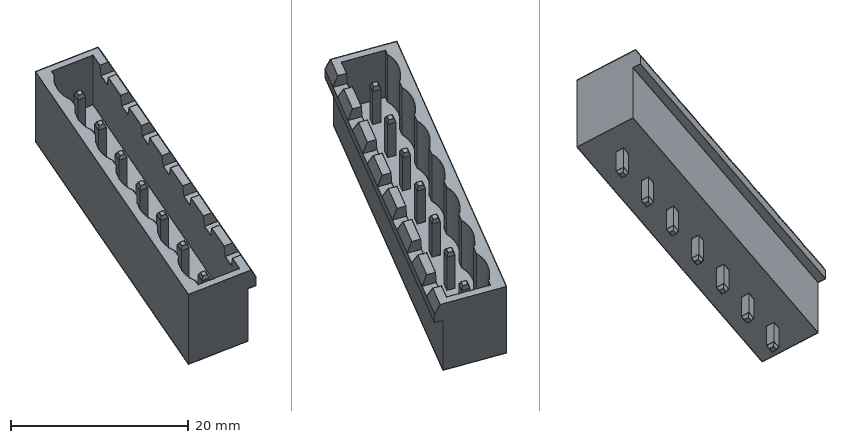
import cadquery as cq


PIN_COUNT = 7
PIN_PITCH = 5.08

LENGTH = 37.56
DEPTH = 8.6
HEIGHT = 12.0
FRONT_Y = -3.8
BACK_Y = FRONT_Y + DEPTH

LIP_OVERHANG = 1.0
LIP_HEIGHT = 3.0
LIP_BEVEL_RUN = 0.65
LIP_BEVEL_DROP = 1.5

END_WALL = 0.8
FRONT_WALL = 1.65
BACK_WALL = 1.7
FLOOR = 3.5
SCALLOP_CHORD = 4.2
SCALLOP_DEPTH = 0.63

NOTCH_TOP_WIDTH = 2.05
NOTCH_FLOOR_WIDTH = 1.5
NOTCH_DEPTH = 1.5

PIN_WIDTH = 1.0
PIN_TIP_WIDTH = 0.6
PIN_TIP_LENGTH = 0.55
PIN_TAIL = 4.0
PIN_TOP_Z = 10.0

pin_xs = [(i - (PIN_COUNT - 1) / 2) * PIN_PITCH for i in range(PIN_COUNT)]


def housing_block():
    """Solid side profile, with the lip, extruded along the row."""
    lower_back_y = BACK_Y - LIP_OVERHANG
    lip_z = HEIGHT - LIP_HEIGHT
    return (
        cq.Workplane("YZ")
        .moveTo(FRONT_Y, 0)
        .lineTo(lower_back_y, 0)
        .lineTo(lower_back_y, lip_z)
        .lineTo(BACK_Y, lip_z)
        .lineTo(BACK_Y, HEIGHT - LIP_BEVEL_DROP)
        .lineTo(BACK_Y - LIP_BEVEL_RUN, HEIGHT)
        .lineTo(FRONT_Y, HEIGHT)
        .close()
        .extrude(LENGTH / 2, both=True)
    )


def cavity():
    """Pocket above the floor, with one shallow arc per pin in its front side."""
    half_length = LENGTH / 2 - END_WALL
    front_y = FRONT_Y + FRONT_WALL
    back_y = BACK_Y - BACK_WALL
    outline = cq.Workplane("XY", origin=(0, 0, FLOOR)).moveTo(-half_length, front_y)
    for x in pin_xs:
        outline = outline.lineTo(x - SCALLOP_CHORD / 2, front_y)
        outline = outline.threePointArc((x, front_y - SCALLOP_DEPTH), (x + SCALLOP_CHORD / 2, front_y))
    return (
        outline.lineTo(half_length, front_y)
        .lineTo(half_length, back_y)
        .lineTo(-half_length, back_y)
        .close()
        .extrude(HEIGHT - FLOOR)
    )


def notch(x):
    """Trapezoid, wider at the top, cut through the back wall."""
    floor_z = HEIGHT - NOTCH_DEPTH
    return (
        cq.Workplane("XZ", origin=(x, BACK_Y, 0))
        .moveTo(-NOTCH_FLOOR_WIDTH / 2, floor_z)
        .lineTo(NOTCH_FLOOR_WIDTH / 2, floor_z)
        .lineTo(NOTCH_TOP_WIDTH / 2, HEIGHT)
        .lineTo(-NOTCH_TOP_WIDTH / 2, HEIGHT)
        .close()
        .extrude(BACK_WALL)
    )


def pin(x):
    """Square pin through the floor, tapered at both ends."""
    taper = (PIN_WIDTH - PIN_TIP_WIDTH) / 2
    return (
        cq.Workplane("XY", origin=(x, 0, -PIN_TAIL))
        .rect(PIN_WIDTH, PIN_WIDTH)
        .extrude(PIN_TAIL + PIN_TOP_Z)
        .faces("<Z or >Z")
        .chamfer(PIN_TIP_LENGTH, taper)
    )


result = housing_block().cut(cavity())
for pin_x in pin_xs:
    result = result.cut(notch(pin_x)).union(pin(pin_x))